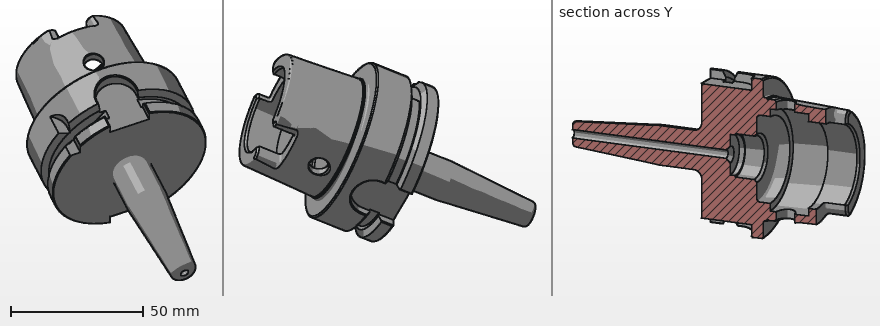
import cadquery as cq
import math


total_length = 112.0
flange_start = 32.0
flange_end = 58.0

shank_end_radius = 22.6
shank_neck_radius = 48.0 / 2
shank_taper_end = 29.7
shank_taper_slope = (shank_neck_radius - shank_end_radius) / shank_taper_end
shank_rim_fillet = 1.0

relief_radius = 23.7
relief_bottom = 30.2
collar_radius = 24.3
collar_start = 30.6
collar_fillet = 1.0

flange_radius = 63.0 / 2
flange_front_chamfer = 0.6
flange_back_chamfer = 0.3
groove_radius = 27.5
groove_start = 47.9
groove_end = 51.6
groove_flank_width = 1.5
groove_flank_depth = 2.6

flat_distance = 22.0
flat_angle = 138.0

nose_radius = 15.8 / 2
nose_root_fillet = 3.0
nose_taper_start = 75.5
nose_tip_radius = 10.0 / 2
nose_tip_fillet = 1.7

mouth_radius = 17.6
mouth_depth = 1.0
entry_radius = 34.0 / 2
entry_depth = 13.2
recess_radius = 40.0 / 2
recess_end = 29.1
bore_floor = 34.7
bore_floor_fillet = 1.29
thread_mouth_radius = 19.0 / 2
thread_radius = 16.9 / 2
thread_root_radius = 15.8 / 2
thread_depth = 11.2
thread_relief_depth = 2.2
coolant_radius = 3.1 / 2
coolant_cone_radius = 3.2

drive_half_width = 6.2
drive_flare_radius = 3.0
drive_flare_height = 20.8
drive_flare_run = 5.6
drive_floor_fillet = 1.2
drive_mouth_width = 1.0
drive_mouth_depth = 0.7
drive_depth_top = 5.8
drive_depth_bottom = 9.9

cross_hole_x = 22.7
cross_hole_radius = 7.5 / 2
cross_hole_rim_radius = 8.5 / 2

cutter_radius = 8.0
keyway_floor = 26.5
keyway_center_x = 45.0
keyway_chamfer = 0.5
notch_wall_y = -20.2
notch_floor = 20.0


def turned_body():
    groove_top = flange_radius
    flank_radius = flange_radius - groove_flank_depth
    collar_drop = collar_fillet * (1 - math.sqrt(0.5))
    arc_drop = nose_root_fillet * (1 - math.sqrt(0.5))
    return (
        cq.Workplane("XY")
        .moveTo(0, 0)
        .lineTo(0, shank_end_radius)
        .lineTo(shank_taper_end, shank_neck_radius)
        .lineTo(relief_bottom, relief_radius)
        .lineTo(collar_start, collar_radius)
        .lineTo(flange_start - collar_fillet, collar_radius)
        .threePointArc(
            (flange_start - collar_drop, collar_radius + collar_drop),
            (flange_start, collar_radius + collar_fillet),
        )
        .lineTo(flange_start, flange_radius - flange_front_chamfer)
        .lineTo(flange_start + flange_front_chamfer, flange_radius)
        .lineTo(groove_start - groove_flank_width, groove_top)
        .lineTo(groove_start, flank_radius)
        .lineTo(groove_start, groove_radius)
        .lineTo(groove_end, groove_radius)
        .lineTo(groove_end, flank_radius)
        .lineTo(groove_end + groove_flank_width, groove_top)
        .lineTo(flange_end - flange_back_chamfer, flange_radius)
        .lineTo(flange_end, flange_radius - flange_back_chamfer)
        .lineTo(flange_end, nose_radius + nose_root_fillet)
        .threePointArc(
            (flange_end + arc_drop, nose_radius + arc_drop),
            (flange_end + nose_root_fillet, nose_radius),
        )
        .lineTo(nose_taper_start, nose_radius)
        .lineTo(total_length, nose_tip_radius)
        .lineTo(total_length, 0)
        .close()
        .revolve(360, (0, 0, 0), (1, 0, 0))
        .faces(">X")
        .edges()
        .fillet(nose_tip_fillet)
        .faces("<X")
        .edges()
        .fillet(shank_rim_fillet)
    )


def bore():
    thread_floor = bore_floor + thread_depth
    fillet_arc = bore_floor_fillet * (1 - math.sqrt(0.5))
    cone_depth = coolant_cone_radius - coolant_radius
    return (
        cq.Workplane("XY")
        .moveTo(0, 0)
        .lineTo(0, mouth_radius)
        .lineTo(mouth_depth, entry_radius)
        .lineTo(entry_depth, entry_radius)
        .lineTo(entry_depth, recess_radius)
        .lineTo(recess_end, recess_radius)
        .lineTo(recess_end, entry_radius)
        .lineTo(bore_floor - bore_floor_fillet, entry_radius)
        .threePointArc(
            (bore_floor - fillet_arc, entry_radius - fillet_arc),
            (bore_floor, entry_radius - bore_floor_fillet),
        )
        .lineTo(bore_floor, thread_mouth_radius)
        .lineTo(bore_floor + thread_mouth_radius - thread_radius, thread_radius)
        .lineTo(thread_floor - thread_relief_depth, thread_radius)
        .lineTo(thread_floor - thread_relief_depth, thread_root_radius)
        .lineTo(thread_floor, thread_root_radius)
        .lineTo(thread_floor, coolant_cone_radius)
        .lineTo(thread_floor + cone_depth, coolant_radius)
        .lineTo(total_length, coolant_radius)
        .lineTo(total_length, 0)
        .close()
        .revolve(360, (0, 0, 0), (1, 0, 0))
    )


def drive_slot_profile(plane, offset):
    """Closed slot outline, its walls moved outward by the offset."""
    half_width = drive_half_width + offset
    radius = drive_flare_radius - offset
    flare_height = drive_flare_height - offset
    flare_start = flare_height - radius
    flare_end_y = half_width + radius
    arc_shift = radius * math.sqrt(0.5)
    side_y = flare_end_y + drive_flare_run
    return (
        plane.moveTo(-half_width, 0)
        .lineTo(half_width, 0)
        .lineTo(half_width, flare_start)
        .threePointArc((flare_end_y - arc_shift, flare_start + arc_shift), (flare_end_y, flare_height))
        .lineTo(side_y, flare_height)
        .lineTo(side_y, flange_radius)
        .lineTo(-side_y, flange_radius)
        .lineTo(-side_y, flare_height)
        .lineTo(-flare_end_y, flare_height)
        .threePointArc((arc_shift - flare_end_y, flare_start + arc_shift), (-half_width, flare_start))
        .close()
    )


def drive_slot(depth):
    """Slot on the +Z side with flared walls, a rounded floor corner and a chamfered mouth."""
    slot = drive_slot_profile(cq.Workplane("YZ"), 0).extrude(depth)
    slot = slot.faces(">X").edges().fillet(drive_floor_fillet)
    mouth = drive_slot_profile(cq.Workplane("YZ"), drive_mouth_width)
    mouth = drive_slot_profile(mouth.workplane(offset=drive_mouth_depth), 0).loft(ruled=True)
    return slot.union(mouth)


def cross_hole():
    """Through hole along Z with a countersunk rim at both ends."""
    rim_height = shank_end_radius + shank_taper_slope * cross_hole_x
    rim_step = cross_hole_rim_radius - cross_hole_radius
    half_hole = (
        cq.Workplane("XZ", origin=(cross_hole_x, 0, 0))
        .lineTo(cross_hole_radius, 0)
        .lineTo(cross_hole_radius, rim_height - rim_step)
        .lineTo(cross_hole_rim_radius + 1.1, rim_height + 1.1)
        .lineTo(0, rim_height + 1.1)
        .close()
        .revolve(360, (0, 0, 0), (0, 1, 0))
    )
    return half_hole.union(half_hole.mirror("XY"))


def round_ended_pocket(center_x, center_y, floor):
    """Pocket open toward +X and +Z with a half-round end toward -X."""
    length = total_length - center_x
    height = flange_radius - floor + 1.1
    end = cq.Workplane("XY", origin=(center_x, center_y, floor)).circle(cutter_radius).extrude(height)
    run = (
        cq.Workplane("XY", origin=(center_x, center_y, floor))
        .rect(length, 2 * cutter_radius)
        .extrude(height)
        .translate((length / 2, 0, 0))
    )
    return end.union(run)


def groove_flat():
    width = groove_end - groove_start
    return (
        cq.Workplane("XY")
        .box(width, 2 * groove_radius, groove_radius, centered=(False, True, False))
        .translate((groove_start, 0, flat_distance))
        .rotate((0, 0, 0), (1, 0, 0), flat_angle - 90)
    )


body = turned_body()
body = body.cut(drive_slot(drive_depth_top))
body = body.cut(drive_slot(drive_depth_bottom).rotate((0, 0, 0), (1, 0, 0), 180))
body = body.cut(bore())
body = body.cut(cross_hole())

keyway = round_ended_pocket(keyway_center_x, 0, keyway_floor)
body = body.cut(keyway)
body = body.cut(keyway.rotate((0, 0, 0), (1, 0, 0), 180))

for side in (1, -1):
    rim_height = math.sqrt(flange_radius**2 - cutter_radius**2)
    rim_box = cq.selectors.BoxSelector(
        (flange_start, -cutter_radius - 1.1, side * (rim_height - 0.1)),
        (flange_end - flange_back_chamfer, cutter_radius + 1.1, side * (flange_radius + 1.1)),
    )
    body = body.edges(rim_box).chamfer(keyway_chamfer)
body = body.cut(round_ended_pocket(keyway_center_x, notch_wall_y - cutter_radius, notch_floor))
result = body.cut(groove_flat())